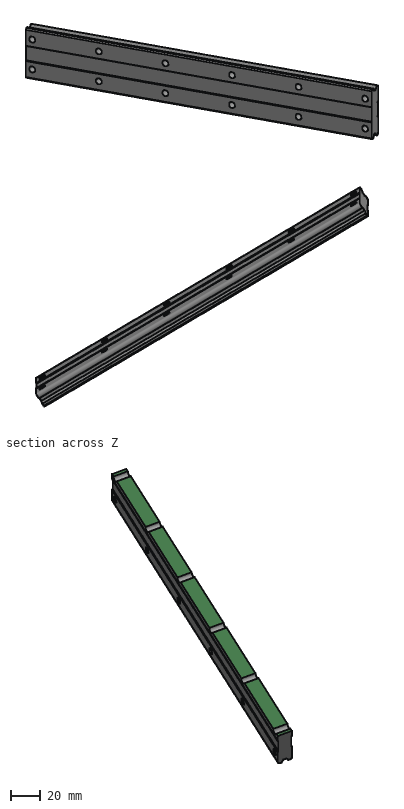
import cadquery as cq

length = 260.0
thickness = 11.0
height = 37.0

groove_floor_width = 2.3
groove_mouth_width = 5.2
groove_depth = 2.3

corner_bevel = 1.0
corner_radius = 2.0
groove_lip_radius = 0.8
lip_tolerance = 0.13

waist_mouth_height = 11.5
waist_depth = 0.5
waist_floor_height = waist_mouth_height - 2 * waist_depth

hole_diameter = 4.5
hole_count = 6
hole_end_margin = 5.0
hole_row_spacing = 22.0
hole_pitch = (length - 2 * hole_end_margin) / (hole_count - 1)


def prism(points):
    """Extrude a closed Y-Z outline over the full length of the rail."""
    return cq.Workplane("YZ", origin=(-length / 2, 0, 0)).polyline(points).close().extrude(length)


def rail_blank():
    """Rectangular bar with beveled -Y corners and rounded +Y corners."""
    bar = cq.Workplane("XY").box(length, thickness, height)
    bar = bar.faces("<Y").edges("|X").chamfer(corner_bevel)
    return bar.faces(">Y").edges("|X").fillet(corner_radius)


def edge_groove(side):
    """Tapered groove cutter for the top (side = 1) or bottom (side = -1) edge."""
    outer_z = side * height / 2
    floor_z = side * (height / 2 - groove_depth)
    return prism([
        (-groove_mouth_width / 2, outer_z),
        (-groove_floor_width / 2, floor_z),
        (groove_floor_width / 2, floor_z),
        (groove_mouth_width / 2, outer_z),
    ])


def waist_recess(side):
    """Recess cutter for the +Y (side = 1) or -Y (side = -1) broad face."""
    outer_y = side * thickness / 2
    floor_y = side * (thickness / 2 - waist_depth)
    return prism([
        (outer_y, -waist_mouth_height / 2),
        (floor_y, -waist_floor_height / 2),
        (floor_y, waist_floor_height / 2),
        (outer_y, waist_mouth_height / 2),
    ])


def mounting_holes():
    """Cylinders that cut both rows of holes through the thickness."""
    return (
        cq.Workplane("XZ")
        .rarray(hole_pitch, hole_row_spacing, hole_count, 2)
        .circle(hole_diameter / 2)
        .extrude(thickness, both=True)
    )


def round_groove_lips(rail):
    """Round the +Y lip of both grooves, where each groove meets the outer edge."""
    lip_zone = cq.selectors.BoxSelector(
        (-length, groove_mouth_width / 2 - lip_tolerance, -height),
        (length, groove_mouth_width / 2 + lip_tolerance, height),
    )
    return rail.edges("|X").edges(lip_zone).fillet(groove_lip_radius)


rail = rail_blank()
for side in (1, -1):
    rail = rail.cut(edge_groove(side)).cut(waist_recess(side))

rail = round_groove_lips(rail)
result = rail.cut(mounting_holes())